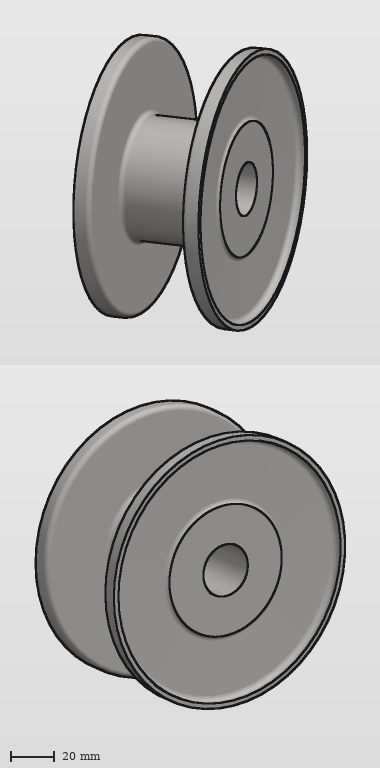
import cadquery as cq

length = 62.0
flange_radius = 64.9
flange_width = 8.5
barrel_radius = 29.1
bore_radius = 12.5
edge_fillet = 2.5

hub_depth = 3.1
ring_inner_radius = 31.1
ring_outer_radius = 62.3
ring_inner_depth = 4.4
ring_outer_depth = 3.8
ring_fillet = 2.5

half_length = length / 2
flange_inner_x = half_length - flange_width


def cylinder(radius, width, start_x):
    """Solid cylinder along X, beginning at start_x."""
    return cq.Workplane("YZ", origin=(start_x, 0, 0)).circle(radius).extrude(width)


def make_spool():
    """Barrel with a flange at each end, rounded at the flange corners and barrel roots."""
    outline = [
        (-half_length, 0),
        (-half_length, flange_radius),
        (-flange_inner_x, flange_radius),
        (-flange_inner_x, barrel_radius),
        (flange_inner_x, barrel_radius),
        (flange_inner_x, flange_radius),
        (half_length, flange_radius),
        (half_length, 0),
    ]
    spool = cq.Workplane("XY").polyline(outline).close().revolve(360, (0, 0), (1, 0))
    inner_edges = spool.edges("%CIRCLE").filter(lambda edge: abs(edge.Center().x) < half_length - edge_fillet)
    return inner_edges.fillet(edge_fillet)


def make_recess():
    """Cutter for the -X end face: hub face plus a ring with rounded floor corners."""
    section = [
        (-half_length, ring_inner_radius),
        (-half_length, ring_outer_radius),
        (-half_length + ring_outer_depth, ring_outer_radius),
        (-half_length + ring_inner_depth, ring_inner_radius),
    ]
    ring = cq.Workplane("XY").polyline(section).close().revolve(360, (0, 0), (1, 0))
    floor_edges = ring.edges("%CIRCLE").filter(lambda edge: edge.Center().x > -half_length + hub_depth)
    ring = floor_edges.fillet(ring_fillet)
    hub_cut = cylinder(ring_inner_radius + ring_fillet / 2, hub_depth, -half_length)
    return ring.union(hub_cut)


recess = make_recess()
bore = cylinder(bore_radius, length, -half_length)
result = make_spool().cut(recess).cut(recess.mirror("YZ")).cut(bore)